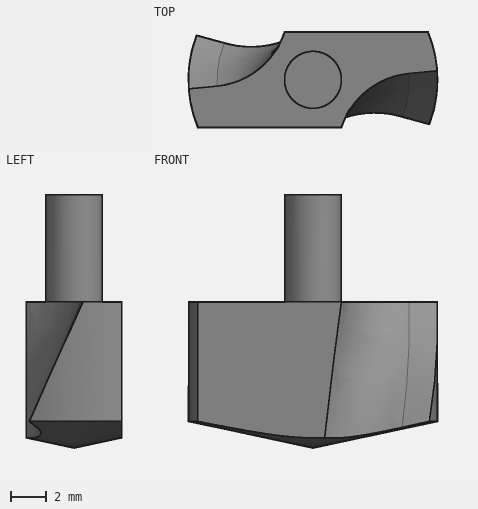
import cadquery as cq
import math

total_height = 14.2
shank_diameter = 3.2
shank_length = 6.0
cutter_diameter = 13.97
body_thickness = 5.37
tip_height = 1.49

flat_start_x = 5.38
flat_start_y = 0.35
rake_slope = 5.5
gullet_radius = 4.43
flute_reach = 9.94
flute_twist = 30.7

cutter_radius = cutter_diameter / 2
body_top = total_height - shank_length


def make_blank():
    """Round body with a conical tip, trimmed to a flat-sided blade."""
    half_section = [(0, 0), (cutter_radius, tip_height), (cutter_radius, body_top), (0, body_top)]
    round_body = cq.Workplane("XZ").polyline(half_section).close().revolve(360, (0, 0), (0, 1))
    slab = cq.Workplane("XY").box(
        2 * cutter_diameter, body_thickness, body_top, centered=(True, True, False)
    )
    return round_body.intersect(slab)


def make_flute():
    """Twisted volume swept by one flute, from the body top down past the tip."""
    slope = math.radians(rake_slope)
    center_x = flat_start_x + gullet_radius * math.sin(slope)
    center_y = flat_start_y - gullet_radius * math.cos(slope)
    mid_angle = math.radians(135 + rake_slope / 2)
    gullet_mid = (
        center_x + gullet_radius * math.cos(mid_angle),
        center_y + gullet_radius * math.sin(mid_angle),
    )
    gullet_end = (center_x - gullet_radius, center_y)
    rake_end_y = flat_start_y + (flute_reach - flat_start_x) * math.tan(slope)
    return (
        cq.Workplane("XY", origin=(0, 0, body_top))
        .moveTo(flute_reach, rake_end_y)
        .lineTo(flat_start_x, flat_start_y)
        .threePointArc(gullet_mid, gullet_end)
        .lineTo(gullet_end[0], -flute_reach)
        .lineTo(flute_reach, -flute_reach)
        .close()
        .twistExtrude(-body_top, flute_twist)
    )


blade = make_blank()
flute = make_flute()
for turn in (0, 180):
    blade = blade.cut(flute.rotate((0, 0, 0), (0, 0, 1), turn))

shank = (
    cq.Workplane("XY", origin=(0, 0, body_top))
    .circle(shank_diameter / 2)
    .extrude(shank_length)
)

result = blade.union(shank)